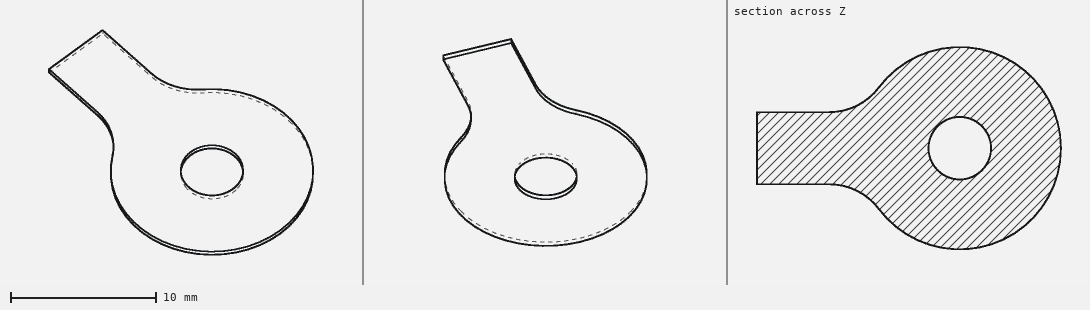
import cadquery as cq
import math

total_length = 20.97
disc_diameter = 13.97
hole_diameter = 4.3
tab_width = 5.0
neck_radius = 4.25
thickness = 0.38

disc_radius = disc_diameter / 2
half_tab = tab_width / 2
tab_end_x = disc_radius - total_length

center_distance = disc_radius + neck_radius
neck_center_y = half_tab + neck_radius
neck_center_x = -math.sqrt(center_distance**2 - neck_center_y**2)
disc_share = disc_radius / center_distance
tangent_x = neck_center_x * disc_share
tangent_y = neck_center_y * disc_share

outline = (
    cq.Workplane("XY")
    .moveTo(tab_end_x, -half_tab)
    .lineTo(neck_center_x, -half_tab)
    .radiusArc((tangent_x, -tangent_y), neck_radius)
    .threePointArc((disc_radius, 0), (tangent_x, tangent_y))
    .radiusArc((neck_center_x, half_tab), neck_radius)
    .lineTo(tab_end_x, half_tab)
    .close()
)
plate = outline.extrude(thickness)

result = plate.faces(">Z").workplane(origin=(0, 0, 0)).hole(hole_diameter)